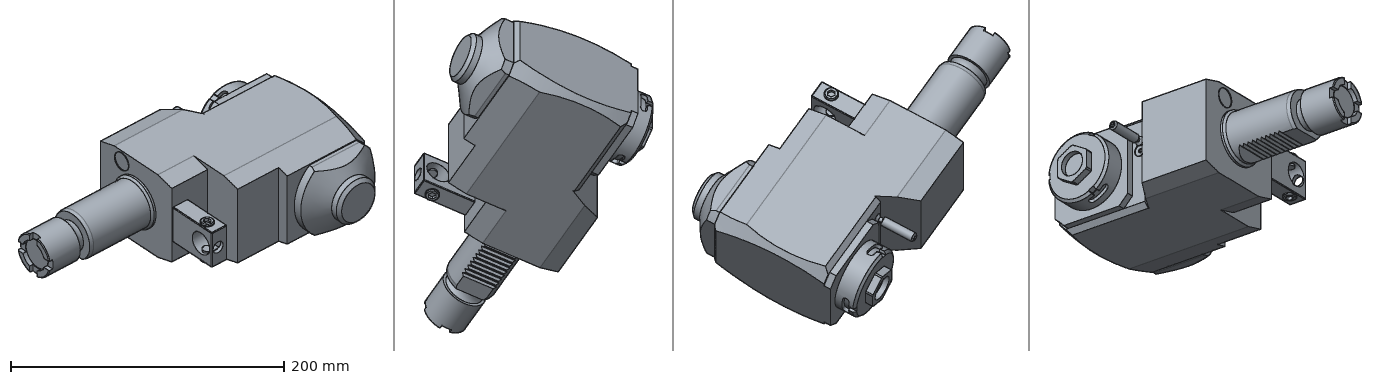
import cadquery as cq
import math


HALF_HEIGHT = 37.5
FOOT_HALF_WIDTH = 39.3
FOOT_FLAT_HALF_WIDTH = 24.0
SIDE_SLOPE = math.tan(math.radians(15))
FOOT_LENGTH = 35.2
WAIST_END = 75.5
WAIST_RIGHT = 72.2
RIGHT_FLAT_END = 57.0
HEAD_LEFT = -14.8
HEAD_RIGHT = 81.5
HEAD_CHAMFER = 4.0
REAR = 154.3
OVERALL_LENGTH = 255
REAR_CORNER_CHAMFER = 3.3
SHOULDER_START = 59.2
SHOULDER_INNER_X = -9.7
CROWN_RADIUS = 127.5
CROWN_CENTER_X = 23.2
CROWN_CENTER_Y = 22.7
FACE_MARK_RADIUS = 7.6
FACE_MARK_X = -16.0
FACE_MARK_Z = 27.5
MARK_DEPTH = 0.8

SPINDLE_Y = 120.4
PLATE_LEFT = -20.5
PLATE_FRONT = 87.0
PLATE_HALF_HEIGHT = HALF_HEIGHT - HEAD_CHAMFER
PLATE_CORNER = 8.0
COLLAR_RADIUS = 27.8
COLLAR_LEFT = -37.7
COLLAR_CHAMFER = 2.0
NUT_LEFT = -43.9
NUT_ACROSS_FLATS = 26.8
NUT_CORNER_RADIUS = 15.0
NUT_BORE_RADIUS = 9.7
NUT_BORE_DEPTH = 4.5
WRENCH_SLOT_COUNT = 3
WRENCH_SLOT_X = -29.3
WRENCH_SLOT_WIDTH = 5.5
WRENCH_SLOT_LENGTH = 18.5
WRENCH_SLOT_DEPTH = 3.0
NOTCH_WIDTH = 4.8
NOTCH_DEPTH = 2.5
NOSE_RADIUS = 38.0
NOSE_CONE_START = 88.7
NOSE_CONE_END = 101.5
NOSE_RIM_END = 84.7
NOSE_REAR = 150.5
TIP_RADIUS = 19.0
TIP_RIGHT = 109.5
TIP_CHAMFER = 2.8

PIN_Y = 80.3
PIN_Z = 17.8
PIN_RADIUS = 3.5
PIN_LEFT = -47.5
PIN_BODY_END = -20.1
PIN_CHAMFER = 1.3
PIN_NECK_RADIUS = 1.8
PIN_NECK_END = -16.8
PIN_SOCKET_DIAMETER = 4.0
PIN_SOCKET_DEPTH = 2.0
PLUG_Z = 10.2
PLUG_RADIUS = 4.5
PLUG_HOLE_RADIUS = 1.5
PLUG_HOLE_DEPTH = 2.0

SHANK_RADIUS = 20.1
SHANK_END = -62.7
SHANK_CHAMFER = 0.8
SHANK_CHAMFER_LENGTH = 3.0
FLANGE_RADIUS = 22.0
FLANGE_END = -1.8
FLANGE_TAPER_END = -3.5
NECK_RADIUS = 12.5
NECK_FLARE_RADIUS = 15.5
NECK_MIDDLE_RADIUS = 13.0
COUPLING_RADIUS = 17.8
COUPLING_START = -70.6
COUPLING_END = REAR - OVERALL_LENGTH
COUPLING_CHAMFER = 0.8
COUPLING_BORE_RADIUS = 12.2
COUPLING_BORE_DEPTH = 3.8
DOG_SLOT_COUNT = 4
DOG_SLOT_WIDTH = 8.2
DOG_SLOT_DEPTH = 3.3
TOOTH_COUNT = 9
TOOTH_PITCH = 4.0
TOOTH_TIP_Z = -15.8
TOOTH_ROOT_Z = -14.3
FIRST_TOOTH = -13.5

BLOCK_RIGHT = 82.0
BLOCK_FRONT = 1.0
BLOCK_REAR = 16.0
BLOCK_HALF_HEIGHT = 15.8
BLOCK_EDGE_CHAMFER = 0.65
BLOCK_BORE_X = 70.0
BLOCK_BORE_RADIUS = 9.5
BLOCK_SCREW_Y = 7.1
SIDE_HOLE_RADIUS = 4.8
SCREW_RADIUS = 5.4
SCREW_CHAMFER = 0.8
SCREW_HEIGHT = 1.8
SCREW_TIP_RADIUS = 3.8
SCREW_TIP_Z = 7.6
SCREW_SOCKET_DIAMETER = 6.0
SCREW_SOCKET_DEPTH = 2.5

CUT_MARGIN = 2.5


def cylinder_x(x_start, x_end, radius, y, z):
    return cq.Workplane("YZ", origin=(x_start, y, z)).circle(radius).extrude(x_end - x_start)


def cylinder_y(y_start, y_end, radius, x, z):
    return cq.Workplane("XZ", origin=(x, y_start, z)).circle(radius).extrude(y_start - y_end)


def hexagon_x(x_start, x_end, corner_diameter, y, z):
    """Hexagonal prism along X with corners pointing up and down."""
    section = cq.Workplane("YZ", origin=(x_start, y, z)).transformed(rotate=(0, 0, 90))
    return section.polygon(6, corner_diameter).extrude(x_end - x_start)


def box_between(low, high):
    size = [b - a for a, b in zip(low, high)]
    return cq.Workplane("XY").box(*size, centered=False).translate(low)


def housing_block(left, left_flat, left_drop, right, right_flat, y_start, y_end):
    """Prism along Y whose flat top and bottom fall away toward both sides."""
    left_z = HALF_HEIGHT - left_drop
    right_z = HALF_HEIGHT - (right - right_flat) * SIDE_SLOPE
    outline = [
        (left, -left_z), (left_flat, -HALF_HEIGHT), (right_flat, -HALF_HEIGHT), (right, -right_z),
        (right, right_z), (right_flat, HALF_HEIGHT), (left_flat, HALF_HEIGHT), (left, left_z),
    ]
    return cq.Workplane("XZ", origin=(0, y_start, 0)).polyline(outline).close().extrude(y_start - y_end)


def make_foot_and_waist():
    foot_drop = (FOOT_HALF_WIDTH - FOOT_FLAT_HALF_WIDTH) * SIDE_SLOPE
    foot = housing_block(
        -FOOT_HALF_WIDTH, -FOOT_FLAT_HALF_WIDTH, foot_drop,
        FOOT_HALF_WIDTH, FOOT_FLAT_HALF_WIDTH, 0, FOOT_LENGTH,
    )
    waist = housing_block(
        -FOOT_HALF_WIDTH, -FOOT_FLAT_HALF_WIDTH, foot_drop,
        WAIST_RIGHT, RIGHT_FLAT_END, FOOT_LENGTH, WAIST_END,
    )
    shoulder = (
        cq.Workplane("XY")
        .polyline([
            (-FOOT_HALF_WIDTH, SHOULDER_START),
            (SHOULDER_INNER_X, WAIST_END),
            (-FOOT_HALF_WIDTH, WAIST_END),
        ])
        .close()
        .extrude(HALF_HEIGHT, both=True)
    )
    face_mark = cylinder_y(0, MARK_DEPTH, FACE_MARK_RADIUS, FACE_MARK_X, FACE_MARK_Z)
    return foot.union(waist.cut(shoulder)).cut(face_mark)


def make_head():
    head = housing_block(
        HEAD_LEFT, HEAD_LEFT + HEAD_CHAMFER, HEAD_CHAMFER,
        HEAD_RIGHT, RIGHT_FLAT_END, WAIST_END, REAR,
    )
    head = head.edges("|Z and >X and >Y").chamfer(REAR_CORNER_CHAMFER)
    crown = (
        cq.Workplane("XZ")
        .polyline([
            (0, -HALF_HEIGHT), (CROWN_RADIUS, -HALF_HEIGHT), (CROWN_RADIUS + HALF_HEIGHT, 0),
            (CROWN_RADIUS, HALF_HEIGHT), (0, HALF_HEIGHT),
        ])
        .close()
        .revolve(360, (0, 0, 0), (0, 1, 0))
        .translate((CROWN_CENTER_X, CROWN_CENTER_Y, 0))
    )
    return head.intersect(crown)


def make_plate():
    plate = box_between(
        (PLATE_LEFT, PLATE_FRONT, -PLATE_HALF_HEIGHT), (HEAD_LEFT, REAR, PLATE_HALF_HEIGHT)
    )
    return plate.edges("|X").chamfer(PLATE_CORNER)


def make_spindle():
    collar = cylinder_x(COLLAR_LEFT, PLATE_LEFT, COLLAR_RADIUS, 0, 0).faces("<X").chamfer(COLLAR_CHAMFER)
    slot = (
        cq.Workplane("XZ", origin=(WRENCH_SLOT_X, 0, 0))
        .slot2D(WRENCH_SLOT_LENGTH, WRENCH_SLOT_WIDTH, 90)
        .extrude(-COLLAR_RADIUS - CUT_MARGIN)
    )
    slot = slot.cut(cylinder_x(COLLAR_LEFT, PLATE_LEFT, COLLAR_RADIUS - WRENCH_SLOT_DEPTH, 0, 0))
    notch = box_between(
        (COLLAR_LEFT, COLLAR_RADIUS - NOTCH_DEPTH, -NOTCH_WIDTH / 2),
        (WRENCH_SLOT_X, COLLAR_RADIUS + CUT_MARGIN, NOTCH_WIDTH / 2),
    )
    wrench_cut = slot.union(notch)
    for index in range(WRENCH_SLOT_COUNT):
        angle = index * 360 / WRENCH_SLOT_COUNT
        collar = collar.cut(wrench_cut.rotate((0, 0, 0), (1, 0, 0), angle))
    nut_corner_diameter = NUT_ACROSS_FLATS / math.cos(math.pi / 6)
    nut = hexagon_x(NUT_LEFT, COLLAR_LEFT, nut_corner_diameter, 0, 0)
    nut = nut.intersect(cylinder_x(NUT_LEFT, COLLAR_LEFT, NUT_CORNER_RADIUS, 0, 0))
    bore = cylinder_x(NUT_LEFT, NUT_LEFT + NUT_BORE_DEPTH, NUT_BORE_RADIUS, 0, 0)
    return collar.union(nut.cut(bore)).translate((0, SPINDLE_Y, 0))


def make_nose():
    nose = (
        cq.Workplane("XY", origin=(0, SPINDLE_Y, 0))
        .polyline([
            (HEAD_RIGHT, 0), (HEAD_RIGHT, NOSE_RADIUS), (NOSE_CONE_START, NOSE_RADIUS),
            (NOSE_CONE_END, TIP_RADIUS), (TIP_RIGHT - TIP_CHAMFER, TIP_RADIUS),
            (TIP_RIGHT, TIP_RADIUS - TIP_CHAMFER), (TIP_RIGHT, 0),
        ])
        .close()
        .revolve(360, (0, 0, 0), (1, 0, 0))
    )
    rim_z = HALF_HEIGHT - (NOSE_RIM_END - RIGHT_FLAT_END) * SIDE_SLOPE
    tip_z = HALF_HEIGHT - (TIP_RIGHT - RIGHT_FLAT_END) * SIDE_SLOPE
    envelope = (
        cq.Workplane("XZ", origin=(0, NOSE_REAR, 0))
        .polyline([
            (HEAD_RIGHT, -rim_z), (NOSE_RIM_END, -rim_z), (TIP_RIGHT, -tip_z),
            (TIP_RIGHT, tip_z), (NOSE_RIM_END, rim_z), (HEAD_RIGHT, rim_z),
        ])
        .close()
        .extrude(NOSE_REAR - (SPINDLE_Y - NOSE_RADIUS))
    )
    return nose.intersect(envelope)


def make_coolant_pin():
    pin = cylinder_x(PIN_LEFT, PIN_BODY_END, PIN_RADIUS, PIN_Y, PIN_Z).faces("<X").chamfer(PIN_CHAMFER)
    neck = cylinder_x(PIN_BODY_END, HEAD_LEFT, PIN_NECK_RADIUS, PIN_Y, PIN_Z)
    flare = (
        cq.Workplane("YZ", origin=(PIN_NECK_END, PIN_Y, PIN_Z))
        .circle(PIN_NECK_RADIUS)
        .workplane(offset=HEAD_LEFT - PIN_NECK_END)
        .circle(PIN_RADIUS)
        .loft()
    )
    socket = hexagon_x(PIN_LEFT, PIN_LEFT + PIN_SOCKET_DEPTH, PIN_SOCKET_DIAMETER, PIN_Y, PIN_Z)
    return pin.union(neck).union(flare).cut(socket)


def make_plug_recess():
    recess = cylinder_x(HEAD_LEFT, HEAD_LEFT + MARK_DEPTH, PLUG_RADIUS, PIN_Y, PLUG_Z)
    hole = cylinder_x(HEAD_LEFT, HEAD_LEFT + PLUG_HOLE_DEPTH, PLUG_HOLE_RADIUS, PIN_Y, PLUG_Z)
    pin_foot = cylinder_x(HEAD_LEFT, HEAD_LEFT + MARK_DEPTH, PIN_RADIUS, PIN_Y, PIN_Z)
    return recess.cut(pin_foot).union(hole)


def make_shank():
    shank = (
        cq.Workplane("XY")
        .moveTo(0, 0)
        .lineTo(FLANGE_RADIUS, 0)
        .lineTo(FLANGE_RADIUS, FLANGE_END)
        .lineTo(SHANK_RADIUS, FLANGE_TAPER_END)
        .lineTo(SHANK_RADIUS, SHANK_END + SHANK_CHAMFER_LENGTH)
        .lineTo(SHANK_RADIUS - SHANK_CHAMFER, SHANK_END)
        .lineTo(0, SHANK_END)
        .close()
        .revolve(360, (0, 0, 0), (0, 1, 0))
    )
    return shank.cut(make_tooth_cut())


def make_tooth_cut():
    """Flat under the shank, with a 45 degree run-out at the housing end and a row of teeth."""
    depth = -FLANGE_RADIUS - CUT_MARGIN
    half_pitch = TOOTH_PITCH / 2
    flank = TOOTH_ROOT_Z - TOOTH_TIP_Z
    first_root = FIRST_TOOTH + half_pitch
    outline = [(first_root + TOOTH_ROOT_Z - depth, depth), (first_root, TOOTH_ROOT_Z)]
    for index in range(TOOTH_COUNT):
        tip = FIRST_TOOTH - index * TOOTH_PITCH
        outline += [(tip + half_pitch - flank, TOOTH_TIP_Z), (tip, TOOTH_TIP_Z)]
        outline.append((tip - half_pitch, TOOTH_ROOT_Z))
    last_root = first_root - TOOTH_COUNT * TOOTH_PITCH
    outline += [(last_root - flank, TOOTH_TIP_Z), (SHANK_END, TOOTH_TIP_Z), (SHANK_END, depth)]
    return cq.Workplane("YZ").polyline(outline).close().extrude(FLANGE_RADIUS, both=True)


def make_coupling():
    flare_middle = (NECK_MIDDLE_RADIUS, (SHANK_END + COUPLING_START) / 2)
    coupling = (
        cq.Workplane("XY")
        .moveTo(0, SHANK_END)
        .lineTo(NECK_RADIUS, SHANK_END)
        .threePointArc(flare_middle, (NECK_FLARE_RADIUS, COUPLING_START))
        .lineTo(COUPLING_RADIUS, COUPLING_START)
        .lineTo(COUPLING_RADIUS, COUPLING_END + COUPLING_CHAMFER)
        .lineTo(COUPLING_RADIUS - COUPLING_CHAMFER, COUPLING_END)
        .lineTo(0, COUPLING_END)
        .close()
        .revolve(360, (0, 0, 0), (0, 1, 0))
    )
    bore = cylinder_y(COUPLING_END, COUPLING_END + COUPLING_BORE_DEPTH, COUPLING_BORE_RADIUS, 0, 0)
    coupling = coupling.cut(bore)
    dog_slot = box_between(
        (0, COUPLING_END, -DOG_SLOT_WIDTH / 2),
        (COUPLING_RADIUS + CUT_MARGIN, COUPLING_END + DOG_SLOT_DEPTH, DOG_SLOT_WIDTH / 2),
    )
    for index in range(DOG_SLOT_COUNT):
        coupling = coupling.cut(dog_slot.rotate((0, 0, 0), (0, 1, 0), index * 360 / DOG_SLOT_COUNT))
    return coupling


def make_set_screw():
    """Upper set screw, standing proud of the block and reaching into its bore, and its socket cut."""
    head_z = BLOCK_HALF_HEIGHT + SCREW_HEIGHT
    plane = cq.Workplane("XY", origin=(BLOCK_BORE_X, BLOCK_SCREW_Y, 0))
    head = plane.workplane(offset=BLOCK_HALF_HEIGHT).circle(SCREW_RADIUS).extrude(SCREW_HEIGHT)
    head = head.faces(">Z").chamfer(SCREW_CHAMFER)
    tip_length = BLOCK_HALF_HEIGHT - SCREW_TIP_Z
    tip = plane.workplane(offset=SCREW_TIP_Z).circle(SCREW_TIP_RADIUS).extrude(tip_length)
    socket = (
        plane.workplane(offset=head_z - SCREW_SOCKET_DEPTH)
        .polygon(6, SCREW_SOCKET_DIAMETER)
        .extrude(SCREW_SOCKET_DEPTH)
    )
    return head.union(tip), socket


def make_side_block():
    block = box_between(
        (FOOT_HALF_WIDTH, BLOCK_FRONT, -BLOCK_HALF_HEIGHT), (BLOCK_RIGHT, BLOCK_REAR, BLOCK_HALF_HEIGHT)
    )
    block = block.edges("|X or >X").chamfer(BLOCK_EDGE_CHAMFER)
    block = block.cut(cylinder_y(BLOCK_FRONT, BLOCK_REAR, BLOCK_BORE_RADIUS, BLOCK_BORE_X, 0))
    block = block.cut(cylinder_x(BLOCK_BORE_X, BLOCK_RIGHT, SIDE_HOLE_RADIUS, BLOCK_SCREW_Y, 0))
    screw, socket = make_set_screw()
    block = block.union(screw).union(screw.mirror("XY"))
    return block.cut(socket).cut(socket.mirror("XY"))


result = (
    make_foot_and_waist()
    .union(make_head())
    .cut(make_plug_recess())
    .union(make_plate())
    .union(make_spindle())
    .union(make_nose())
    .union(make_coolant_pin())
    .union(make_shank())
    .union(make_coupling())
    .union(make_side_block())
)